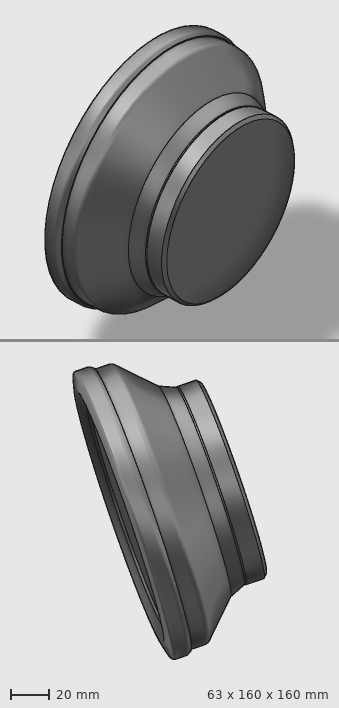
import cadquery as cq
import math

total_length = 63.0

ring_radius = 80.0
front_flat_outer_radius = 72.5
front_flat_inner_radius = 70.5
front_slope = math.radians(14)
rim_start_x = 3.4
rim_round = 1.9
ring_round_start_x = 9.1
ring_round_end_x = 11.0
ring_round_radius = 3.2
ring_end_x = 12.5
ring_end_radius = 78.4
throat_round = 3.8
throat_angle = math.radians(30)
throat_end_radius = 63.4

face_x = 5.1
flange_radius = 155.5 / 2
flange_end_x = 20.2
shoulder_round = 4.8
cone_angle = math.radians(45)
cone_end_x = 41.5
neck_radius = 109.6 / 2
neck_start_x = 50.0
collar_radius = 110.0 / 2
collar_start_x = 51.0
collar_chamfer = 1.9


def revolve_about_x(profile):
    """Turn a closed profile, drawn as (x, radius), one full turn about the X axis."""
    return profile.close().revolve(360, (0, 0, 0), (1, 0, 0))


def make_ring():
    """Ring with a rounded rim and a conical throat, hooked over the front of the housing flange."""
    rim_centre_radius = ring_radius - rim_round
    rim_mid_angle = (front_slope + math.pi / 2) / 2

    def rim_point(angle):
        return (
            rim_start_x - rim_round * math.cos(angle),
            rim_centre_radius + rim_round * math.sin(angle),
        )

    round_end_drop = ring_round_radius - math.sqrt(
        ring_round_radius**2 - (ring_round_end_x - ring_round_start_x) ** 2
    )

    def throat_point(angle):
        return (
            throat_round * (1 - math.cos(angle)),
            front_flat_inner_radius - throat_round * math.sin(angle),
        )

    throat_start_x, throat_start_radius = throat_point(throat_angle)
    throat_end_x = throat_start_x + (throat_start_radius - throat_end_radius) * math.tan(throat_angle)

    profile = (
        cq.Workplane("XY")
        .moveTo(0, front_flat_inner_radius)
        .lineTo(0, front_flat_outer_radius)
        .lineTo(*rim_point(front_slope))
        .threePointArc(rim_point(rim_mid_angle), (rim_start_x, ring_radius))
        .lineTo(ring_round_start_x, ring_radius)
        .tangentArcPoint((ring_round_end_x, ring_radius - round_end_drop), relative=False)
        .lineTo(ring_end_x, ring_end_radius)
        .lineTo(ring_end_x, flange_radius)
        .lineTo(face_x, flange_radius)
        .lineTo(face_x, throat_end_radius)
        .lineTo(throat_end_x, throat_end_radius)
        .lineTo(throat_start_x, throat_start_radius)
        .threePointArc(throat_point(throat_angle / 2), (0, front_flat_inner_radius))
    )
    return revolve_about_x(profile)


def make_housing():
    """Solid housing: flange, rounded shoulder, cone, flared neck and chamfered collar."""
    def shoulder_point(angle):
        return (
            flange_end_x + shoulder_round * math.sin(angle),
            flange_radius - shoulder_round * (1 - math.cos(angle)),
        )

    cone_start_x, cone_start_radius = shoulder_point(cone_angle)
    cone_end_radius = cone_start_radius - (cone_end_x - cone_start_x) * math.tan(cone_angle)

    profile = (
        cq.Workplane("XY")
        .moveTo(face_x, 0)
        .lineTo(face_x, flange_radius)
        .lineTo(flange_end_x, flange_radius)
        .threePointArc(shoulder_point(cone_angle / 2), (cone_start_x, cone_start_radius))
        .lineTo(cone_end_x, cone_end_radius)
        .lineTo(neck_start_x, neck_radius)
        .lineTo(collar_start_x, neck_radius)
        .lineTo(collar_start_x, collar_radius)
        .lineTo(total_length - collar_chamfer, collar_radius)
        .lineTo(total_length, collar_radius - collar_chamfer)
        .lineTo(total_length, 0)
    )
    return revolve_about_x(profile)


ring = make_ring()
housing = make_housing()

result = cq.Compound.makeCompound([ring.val(), housing.val()])